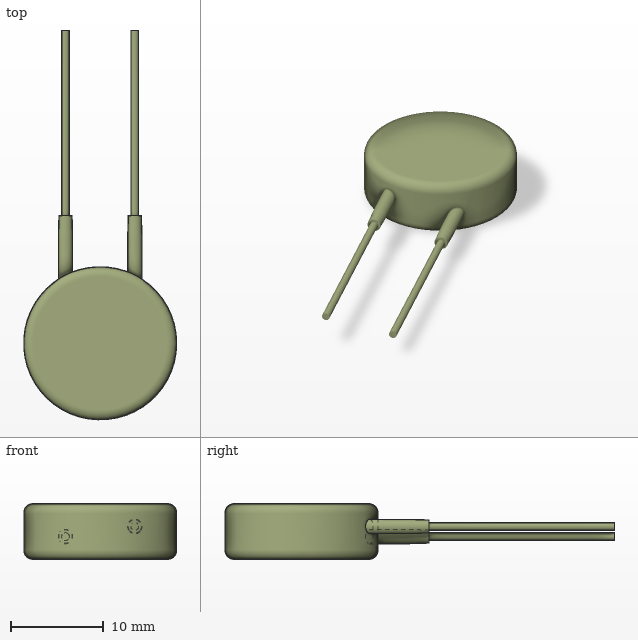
import cadquery as cq

disc_diameter = 16.5
disc_height = 6.0
edge_radius = 1.0
disc_radius = disc_diameter / 2

total_length = 42.0
lead_spacing = 7.48
lead_stagger = 1.1
wire_diameter = 0.85
wire_exposed_length = 20.0

sleeve_diameter = 1.55
sleeve_tip_diameter = 1.43
taper_length = 2.2

wire_end_y = total_length - disc_radius
sleeve_end_y = wire_end_y - wire_exposed_length
taper_start_y = sleeve_end_y - taper_length


def make_disc():
    disc = cq.Workplane("XY", origin=(0, 0, -disc_height / 2)).circle(disc_radius).extrude(disc_height)
    return disc.edges("%CIRCLE").fillet(edge_radius)


def make_lead(x, z):
    """Wire and tapered sleeve revolved about Y, starting inside the disc."""
    sleeve_radius = sleeve_diameter / 2
    tip_radius = sleeve_tip_diameter / 2
    wire_radius = wire_diameter / 2
    profile = (
        cq.Workplane("XY")
        .moveTo(0, 0)
        .lineTo(sleeve_radius, 0)
        .lineTo(sleeve_radius, taper_start_y)
        .lineTo(tip_radius, sleeve_end_y)
        .lineTo(wire_radius, sleeve_end_y)
        .lineTo(wire_radius, wire_end_y)
        .lineTo(0, wire_end_y)
        .close()
    )
    return profile.revolve(360, (0, 0), (0, 1)).translate((x, 0, z))


result = make_disc()
for side in (-1, 1):
    result = result.union(make_lead(side * lead_spacing / 2, side * lead_stagger / 2))